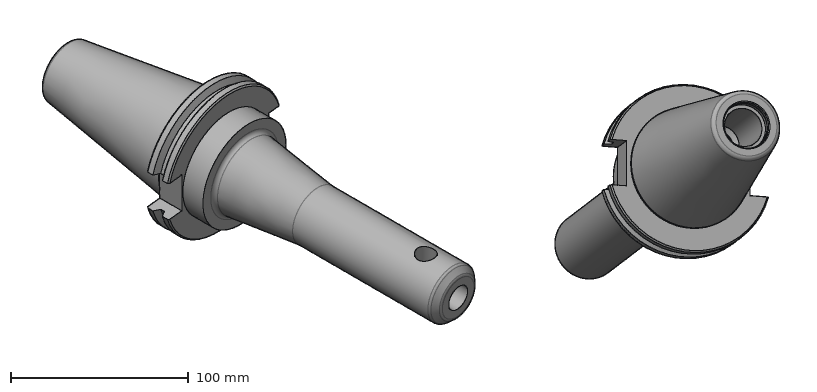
import cadquery as cq
import math

TOTAL_LENGTH = 298.5
TAPER_END = 103.0
FLANGE_START = 104.5
FLANGE_END = 121.2
COLLAR_END = 136.5
SHANK_START = 190.0

GAUGE_RADIUS = 70.0 / 2
TAPER_RATIO = 7 / 24
SMALL_END_RADIUS = GAUGE_RADIUS - TAPER_END * TAPER_RATIO / 2
SMALL_END_ROUND = 2.0
RELIEF_RADIUS = 69.8 / 2

FLANGE_RADIUS = 48.7
FLANGE_CHAMFER = 1.0
GROOVE_CENTER = 112.8
GROOVE_DEPTH = 4.0
GROOVE_FLOOR_WIDTH = 2.7
GROOVE_HALF_ANGLE = 30
SLOT_WIDTH = 26.3
SLOT_FLOOR_PLUS_Y = 37.3
SLOT_FLOOR_MINUS_Y = 35.8

COLLAR_RADIUS = 69.8 / 2
NECK_RADIUS = 25.7
NECK_FILLET = 2.7
SHANK_RADIUS = 38.2 / 2
NOSE_CHAMFER = 4.8
NOSE_EDGE_ROUND = 2.5

BORE_DIAMETER = 15.8
THREAD_DIAMETER = 22.0
THREAD_DEPTH = 47.8
DRILL_HALF_ANGLE = 60
COUNTERBORE_OUTER_DIAMETER = 26.5
COUNTERBORE_INNER_DIAMETER = 26.3
COUNTERBORE_STEP_DEPTH = 3.0
COUNTERBORE_DEPTH = 6.0
MOUTH_CHAMFER = 0.5
SIDE_HOLE_DIAMETER = 12.8
SIDE_HOLE_X = 274.0


def make_body():
    """Revolve the outer profile about the X axis."""
    groove_floor_half = GROOVE_FLOOR_WIDTH / 2
    groove_top_half = groove_floor_half + GROOVE_DEPTH * math.tan(math.radians(GROOVE_HALF_ANGLE))
    groove_floor_radius = FLANGE_RADIUS - GROOVE_DEPTH
    rim_edge_radius = FLANGE_RADIUS - FLANGE_CHAMFER
    fillet_sag = NECK_FILLET * (1 - math.sqrt(0.5))
    end_sag = SMALL_END_ROUND * (1 - math.sqrt(0.5))
    taper_slope = TAPER_RATIO / 2

    profile = (
        cq.Workplane("XY")
        .moveTo(0, 0)
        .lineTo(0, SMALL_END_RADIUS - SMALL_END_ROUND)
        .threePointArc(
            (end_sag, SMALL_END_RADIUS - end_sag),
            (SMALL_END_ROUND, SMALL_END_RADIUS + SMALL_END_ROUND * taper_slope),
        )
        .lineTo(TAPER_END, GAUGE_RADIUS)
        .lineTo(TAPER_END, RELIEF_RADIUS)
        .lineTo(FLANGE_START, RELIEF_RADIUS)
        .lineTo(FLANGE_START, rim_edge_radius)
        .lineTo(FLANGE_START + FLANGE_CHAMFER, FLANGE_RADIUS)
        .lineTo(GROOVE_CENTER - groove_top_half, FLANGE_RADIUS)
        .lineTo(GROOVE_CENTER - groove_floor_half, groove_floor_radius)
        .lineTo(GROOVE_CENTER + groove_floor_half, groove_floor_radius)
        .lineTo(GROOVE_CENTER + groove_top_half, FLANGE_RADIUS)
        .lineTo(FLANGE_END - FLANGE_CHAMFER, FLANGE_RADIUS)
        .lineTo(FLANGE_END, rim_edge_radius)
        .lineTo(FLANGE_END, COLLAR_RADIUS)
        .lineTo(COLLAR_END, COLLAR_RADIUS)
        .lineTo(COLLAR_END, NECK_RADIUS + NECK_FILLET)
        .threePointArc(
            (COLLAR_END + fillet_sag, NECK_RADIUS + fillet_sag),
            (COLLAR_END + NECK_FILLET, NECK_RADIUS),
        )
        .lineTo(SHANK_START, SHANK_RADIUS)
        .lineTo(TOTAL_LENGTH - NOSE_CHAMFER, SHANK_RADIUS)
        .lineTo(TOTAL_LENGTH, SHANK_RADIUS - NOSE_CHAMFER)
        .lineTo(TOTAL_LENGTH, 0)
        .close()
    )
    body = profile.revolve(360, (0, 0, 0), (1, 0, 0))

    nose_rims = cq.selectors.BoxSelector(
        (TOTAL_LENGTH - 1.5 * NOSE_CHAMFER, -SHANK_RADIUS / 4, -SHANK_RADIUS / 4),
        (TOTAL_LENGTH + NOSE_CHAMFER, SHANK_RADIUS / 4, SHANK_RADIUS / 4),
    )
    return body.edges(nose_rims).fillet(NOSE_EDGE_ROUND)


def make_slot(side, floor_distance):
    """Driving slot across the flange; side is +1 or -1 along Y."""
    depth = FLANGE_RADIUS - floor_distance
    return (
        cq.Workplane("XY")
        .box(FLANGE_END - FLANGE_START, depth, SLOT_WIDTH)
        .translate(((FLANGE_START + FLANGE_END) / 2, side * (floor_distance + depth / 2), 0))
    )


def make_axial_bore():
    """Stepped bore along X: chamfered mouth, counterbore, threaded hole with drill cone, through bore."""
    bore_radius = BORE_DIAMETER / 2
    thread_radius = THREAD_DIAMETER / 2
    inner_radius = COUNTERBORE_INNER_DIAMETER / 2
    outer_radius = COUNTERBORE_OUTER_DIAMETER / 2
    cone_length = (thread_radius - bore_radius) / math.tan(math.radians(DRILL_HALF_ANGLE))
    profile = (
        cq.Workplane("XY")
        .moveTo(0, 0)
        .lineTo(0, outer_radius + MOUTH_CHAMFER)
        .lineTo(MOUTH_CHAMFER, outer_radius)
        .lineTo(COUNTERBORE_STEP_DEPTH, outer_radius)
        .lineTo(COUNTERBORE_STEP_DEPTH, inner_radius)
        .lineTo(COUNTERBORE_DEPTH, inner_radius)
        .lineTo(COUNTERBORE_DEPTH, thread_radius)
        .lineTo(THREAD_DEPTH, thread_radius)
        .lineTo(THREAD_DEPTH + cone_length, bore_radius)
        .lineTo(TOTAL_LENGTH, bore_radius)
        .lineTo(TOTAL_LENGTH, 0)
        .close()
    )
    return profile.revolve(360, (0, 0, 0), (1, 0, 0))


def make_side_hole():
    """Radial hole from the top of the nose down to the bore axis."""
    return (
        cq.Workplane("XY")
        .center(SIDE_HOLE_X, 0)
        .circle(SIDE_HOLE_DIAMETER / 2)
        .extrude(SHANK_RADIUS)
    )


result = (
    make_body()
    .cut(make_slot(1, SLOT_FLOOR_PLUS_Y))
    .cut(make_slot(-1, SLOT_FLOOR_MINUS_Y))
    .cut(make_axial_bore())
    .cut(make_side_hole())
)